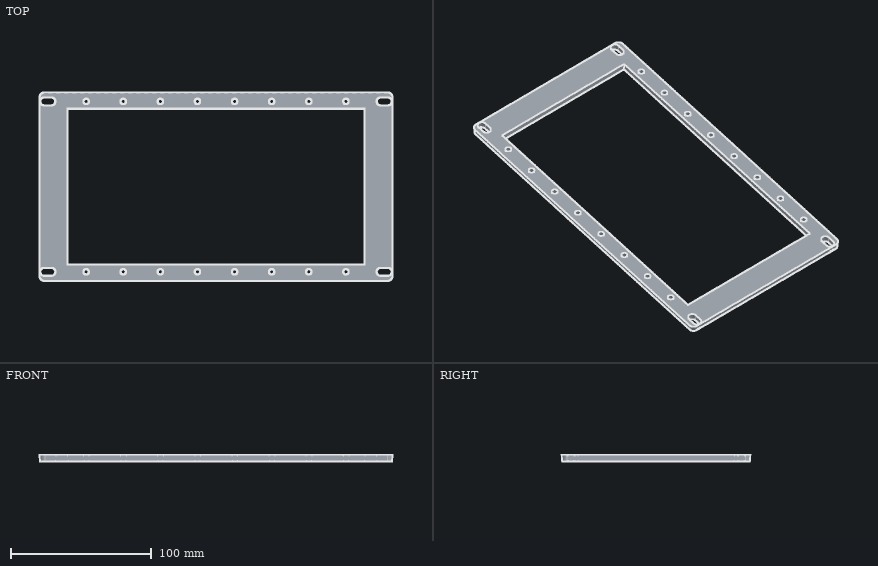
import cadquery as cq

length = 250.7
width = 134.0
thickness = 5.0
corner_radius = 3.8

draft_angle = 5.0

window_length = 210.8
window_width = 110.8

slot_length = 11.3
slot_width = 6.0
slot_spacing_x = 238.7

row_spacing = 120.8
holes_per_row = 8
hole_pitch = 26.3
hole_diameter = 4.3


def top_plane():
    return cq.Workplane("XY").workplane(offset=thickness / 2)


def taper_down(outline):
    return outline.extrude(-thickness, taper=draft_angle)


def make_plate():
    outline = cq.Sketch().rect(length, width).vertices().fillet(corner_radius)
    return taper_down(top_plane().placeSketch(outline))


def window_cutter():
    return taper_down(top_plane().rect(window_length, window_width))


def slot_cutters():
    centres = top_plane().rarray(slot_spacing_x, row_spacing, 2, 2)
    return taper_down(centres.slot2D(slot_length, slot_width))


def row_hole_cutters():
    centres = top_plane().rarray(hole_pitch, row_spacing, holes_per_row, 2)
    return taper_down(centres.circle(hole_diameter / 2))


result = make_plate().cut(window_cutter()).cut(slot_cutters()).cut(row_hole_cutters())